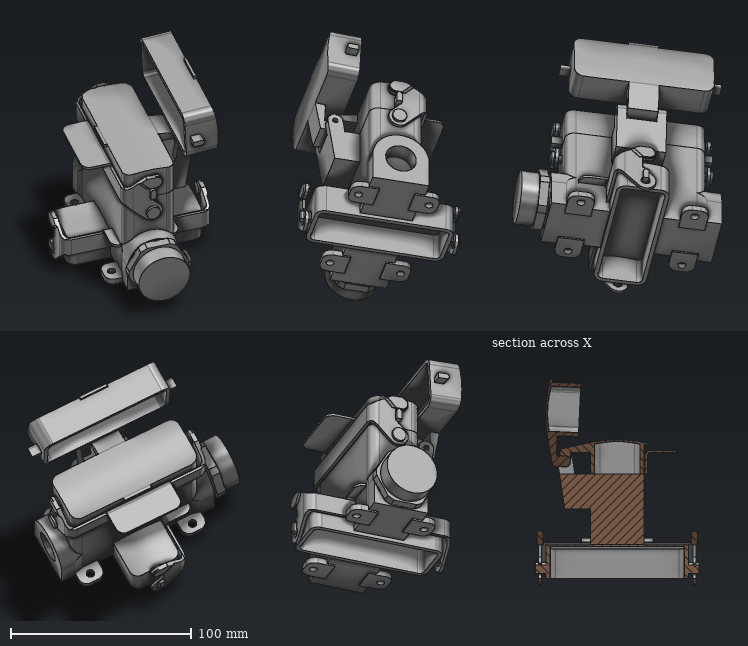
import cadquery as cq
import math

HOOD_LENGTH = 79.0
HOOD_WIDTH = 29.8
HOOD_CORNER_RADIUS = 5.4
HALF_LENGTH = HOOD_LENGTH / 2
HALF_WIDTH = HOOD_WIDTH / 2

HOUSING_HEIGHT = 56.0
HUB_RADIUS = 16.2
HUB_END_X = 48.1
HUB_BORE_DIAMETER = 17.4
HUB_BORE_DEPTH = 10.3
FOOT_WIDTH = 14.8
FOOT_INNER_Y = 10.1
FOOT_OUTER_Y = 25.3
FOOT_TOP_Z = 2.6
FOOT_BOTTOM_Z = -0.9
FOOT_RADIUS = 5.0
FOOT_HOLE_DIAMETER = 4.5
FOOT_HOLE_X = 32.1
FOOT_HOLE_Y = 20.2

HINGE_Y = 28.9
HINGE_Z = 62.8
HINGE_WIDTH = 28.0
HINGE_EAR_RADIUS = 4.4
HINGE_HOLE_DIAMETER = 3.0
HINGE_BOTTOM_Z = 36.3
HINGE_LEAN = 8.7

COVER_SHOULDER = 17.5
COVER_CROWN = 19.0
COVER_WALL = 2.4
COVER_ROOF = 1.1
CAVITY_CORNER_RADIUS = 3.0
ARM_WIDTH = 17.1
ARM_EYE_RADIUS = 3.0
ARM_TIP_Z = 13.7
ARM_UNDERSIDE_Z = 11.7
TOE_SIZE = 1.7
LUG_WIDTH = 3.2
LUG_BASE_Z = 2.6
LUG_TOP_Z = 9.0
LUG_REACH = 45.5
OPEN_ANGLE = 87.3
CROSS_COVER_RIM_Z = -2.2

LEVER_PIVOT_Z = 48.7
LEVER_OUTER_X = 43.8
LEVER_OUTER_Y = 17.0
LEVER_THICKNESS = 1.8
LEVER_CORNER_RADIUS = 5.3
LEVER_RING_RADIUS = 5.8
LEVER_HOLE_DIAMETER = 5.0
HOOK_DISC_RADIUS = 3.9
HOOK_DISC_Y = 2.0
HOOK_TOP = 24.3
HOOK_SLOPE_Y = -3.7
HOOK_PAD_HEIGHT = 0.9
HOOK_PAD_RADIUS = 3.7
HOOK_PAD_Y = 1.7
HOOK_PAD_LOW_Y = -3.5
HOOK_PAD_HIGH_Y = -8.2
HOOK_BEVEL_HEIGHT = 0.8
HOOK_BEVEL_WIDTH = 1.4
HOOK_NUB_HEIGHT = 0.9
HOOK_NUB_RADIUS = 3.8
STRIP_TOP = 17.9
STRIP_BOTTOM = 7.1
STRIP_KNEE_Y = -15.5
GRIP_WIDTH = 40.1
GRIP_RADIUS = 5.0
GRIP_END_Y = -32.6
GRIP_TOP = 20.5
GRIP_THICKNESS = 1.5
GRIP_BEND_Y = -17.9
GRIP_BEND_RADIUS = 1.5

PIN_DIAMETER = 4.7
PIN_HEAD_DIAMETER = 8.0
PIN_HEAD_THICKNESS = 1.5

GLAND_NECK_DIAMETER = 31.0
GLAND_NECK_LENGTH = 1.1
GLAND_NUT_FLATS = 32.1
GLAND_NUT_CORNERS = 34.8
GLAND_NUT_LENGTH = 5.3
GLAND_BODY_DIAMETER = 30.0
GLAND_BODY_LENGTH = 9.9


def extrude_x(outline, width):
    """Prism of a closed (y, z) outline, centred on x = 0."""
    return cq.Workplane("YZ").polyline(outline).close().extrude(width / 2, both=True)


def cylinder_x(diameter, start_x, end_x, y=0.0, z=0.0):
    """Cylinder along X between two x positions."""
    return (
        cq.Workplane("YZ", origin=(start_x, 0, 0))
        .center(y, z)
        .circle(diameter / 2)
        .extrude(end_x - start_x)
    )


def crowned_block(length, width, shoulder, crown, corner_radius):
    """Block on z = 0 with rounded corners and a top arched across its width."""
    return (
        cq.Workplane("YZ")
        .moveTo(-width / 2, 0)
        .lineTo(width / 2, 0)
        .lineTo(width / 2, shoulder)
        .threePointArc((0, crown), (-width / 2, shoulder))
        .close()
        .extrude(length / 2, both=True)
        .edges("|Z")
        .fillet(corner_radius)
    )


def cover_block():
    """Outside of the cover without its arm, toe and lugs."""
    return crowned_block(HOOD_LENGTH, HOOD_WIDTH, COVER_SHOULDER, COVER_CROWN, HOOD_CORNER_RADIUS)


def cover_arm():
    """Hinge arm behind the cover, with a leg that ends in an eye round the hinge axis."""
    hinge_z = HINGE_Z - HOUSING_HEIGHT
    root_y = HALF_WIDTH - COVER_WALL
    return (
        cq.Workplane("YZ")
        .moveTo(root_y, COVER_SHOULDER)
        .lineTo(HALF_WIDTH, COVER_SHOULDER)
        .lineTo(HINGE_Y + ARM_EYE_RADIUS, ARM_TIP_Z)
        .lineTo(HINGE_Y + ARM_EYE_RADIUS, hinge_z)
        .threePointArc((HINGE_Y, hinge_z - ARM_EYE_RADIUS), (HINGE_Y - ARM_EYE_RADIUS, hinge_z))
        .lineTo(HINGE_Y - ARM_EYE_RADIUS, ARM_UNDERSIDE_Z)
        .lineTo(root_y, ARM_UNDERSIDE_Z)
        .close()
        .extrude(ARM_WIDTH / 2, both=True)
    )


def cover_lugs():
    """Bar that forms the locking lugs at both ends, flat below and round on top."""
    half = LUG_WIDTH / 2
    return (
        cq.Workplane("YZ")
        .moveTo(-half, LUG_BASE_Z)
        .lineTo(half, LUG_BASE_Z)
        .lineTo(half, LUG_TOP_Z - half)
        .threePointArc((0, LUG_TOP_Z), (-half, LUG_TOP_Z - half))
        .close()
        .extrude(LUG_REACH, both=True)
    )


def make_cover():
    """Cover with its rim on z = 0, its toe toward -Y and its hinge arm toward +Y."""
    cavity = crowned_block(
        HOOD_LENGTH - 2 * COVER_WALL,
        HOOD_WIDTH - 2 * COVER_WALL,
        COVER_SHOULDER - COVER_ROOF,
        COVER_CROWN - COVER_ROOF,
        CAVITY_CORNER_RADIUS,
    )
    toe_y = -HALF_WIDTH + (COVER_WALL - TOE_SIZE) / 2
    toe_z = COVER_SHOULDER - TOE_SIZE / 2
    toe = cq.Workplane("XY", origin=(0, toe_y, toe_z)).box(ARM_WIDTH, COVER_WALL + TOE_SIZE, TOE_SIZE)
    return cover_block().union(cover_arm()).union(toe).union(cover_lugs()).cut(cavity)


def lever_side_outline():
    """Side shape of a lever arm in (y, z), with the pivot at the origin."""
    diagonal = LEVER_RING_RADIUS * math.sqrt(0.5)
    notch_y = -LUG_WIDTH / 2
    notch_z = 2 * diagonal - notch_y
    hook_bottom = HOOK_TOP - 2 * HOOK_DISC_RADIUS
    disc_z = HOOK_TOP - HOOK_DISC_RADIUS
    heel_y = -2 * diagonal - STRIP_BOTTOM
    return (
        cq.Workplane("YZ")
        .moveTo(diagonal, diagonal)
        .lineTo(notch_y, notch_z)
        .lineTo(notch_y, hook_bottom)
        .lineTo(HOOK_DISC_Y, hook_bottom)
        .threePointArc((HOOK_DISC_Y + HOOK_DISC_RADIUS, disc_z), (HOOK_DISC_Y, HOOK_TOP))
        .lineTo(HOOK_SLOPE_Y, HOOK_TOP)
        .lineTo(STRIP_KNEE_Y, STRIP_TOP)
        .lineTo(-LEVER_OUTER_Y, STRIP_TOP)
        .lineTo(-LEVER_OUTER_Y, STRIP_BOTTOM)
        .lineTo(heel_y, STRIP_BOTTOM)
        .lineTo(-diagonal, -diagonal)
        .threePointArc((diagonal, -diagonal), (diagonal, diagonal))
        .close()
    )


def lever_bail():
    """U-shaped strip, seen from above, that runs round both ends and the front."""
    height = HOOK_TOP + LEVER_RING_RADIUS
    back_y = HOOK_DISC_Y + HOOK_DISC_RADIUS + LEVER_THICKNESS
    depth = back_y + LEVER_OUTER_Y

    def loop(half_length, front_y, radius):
        """Block whose two front corners are rounded."""
        return (
            cq.Workplane("XY", origin=(0, 0, -LEVER_RING_RADIUS))
            .center(0, front_y + depth / 2)
            .rect(2 * half_length, depth)
            .extrude(height)
            .edges("|Z and <Y")
            .fillet(radius)
        )

    outer = loop(LEVER_OUTER_X, -LEVER_OUTER_Y, LEVER_CORNER_RADIUS)
    inner = loop(
        LEVER_OUTER_X - LEVER_THICKNESS,
        -LEVER_OUTER_Y + LEVER_THICKNESS,
        LEVER_CORNER_RADIUS - LEVER_THICKNESS,
    )
    return outer.cut(inner)


def hook_pad():
    """Raised face on the outside of the hook at +X, bevelled where it joins the arm."""
    pad_bottom = HOOK_TOP - 2 * HOOK_PAD_RADIUS
    disc_z = HOOK_TOP - HOOK_PAD_RADIUS
    slope = (HOOK_TOP - STRIP_TOP) / (HOOK_SLOPE_Y - STRIP_KNEE_Y)
    high_z = HOOK_TOP - slope * (HOOK_SLOPE_Y - HOOK_PAD_HIGH_Y)
    bevel_side_middle = (
        LEVER_OUTER_X + HOOK_PAD_HEIGHT / 2,
        (HOOK_PAD_LOW_Y + HOOK_PAD_HIGH_Y) / 2,
        (pad_bottom + high_z) / 2,
    )
    pad = (
        cq.Workplane("YZ", origin=(LEVER_OUTER_X, 0, 0))
        .moveTo(HOOK_PAD_Y, HOOK_TOP)
        .lineTo(HOOK_SLOPE_Y, HOOK_TOP)
        .lineTo(HOOK_PAD_HIGH_Y, high_z)
        .lineTo(HOOK_PAD_LOW_Y, pad_bottom)
        .lineTo(HOOK_PAD_Y, pad_bottom)
        .threePointArc((HOOK_PAD_Y + HOOK_PAD_RADIUS, disc_z), (HOOK_PAD_Y, HOOK_TOP))
        .close()
        .extrude(HOOK_PAD_HEIGHT)
    )
    bevel_side = pad.faces(cq.selectors.NearestToPointSelector(bevel_side_middle))
    bevel_edge = bevel_side.edges(">X").val()
    return pad.newObject([bevel_edge]).chamfer(HOOK_BEVEL_HEIGHT, HOOK_BEVEL_WIDTH)


def hook_nub():
    """Round nub on the inside of the hook at +X."""
    inner_x = LEVER_OUTER_X - LEVER_THICKNESS
    return cylinder_x(
        2 * HOOK_NUB_RADIUS,
        inner_x - HOOK_NUB_HEIGHT,
        inner_x,
        HOOK_DISC_Y,
        HOOK_TOP - HOOK_DISC_RADIUS,
    )


def lever_grip():
    """Finger plate bent outward from the top edge of the front strip."""
    strip_inner_y = -LEVER_OUTER_Y + LEVER_THICKNESS
    grip_bottom = GRIP_TOP - GRIP_THICKNESS
    outline = [
        (strip_inner_y, STRIP_TOP),
        (-LEVER_OUTER_Y, STRIP_TOP),
        (GRIP_BEND_Y, grip_bottom),
        (GRIP_END_Y, grip_bottom),
        (GRIP_END_Y, GRIP_TOP),
        (-LEVER_OUTER_Y, GRIP_TOP),
    ]
    bend_edge = cq.selectors.NearestToPointSelector((0, -LEVER_OUTER_Y, GRIP_TOP))
    return (
        extrude_x(outline, GRIP_WIDTH)
        .edges("|Z and <Y")
        .fillet(GRIP_RADIUS)
        .edges(bend_edge)
        .fillet(GRIP_BEND_RADIUS)
    )


def make_lever():
    """Lever with its pivot axis along X through the origin and its grip toward -Y."""
    lever = lever_bail().intersect(lever_side_outline().extrude(LEVER_OUTER_X, both=True))
    for detail in (hook_pad(), hook_nub()):
        lever = lever.union(detail).union(detail.mirror("YZ"))
    pivot_holes = cylinder_x(LEVER_HOLE_DIAMETER, -LEVER_OUTER_X, LEVER_OUTER_X)
    return lever.union(lever_grip()).cut(pivot_holes)


def housing_block():
    """Main block, flush with the closed cover."""
    return (
        cq.Workplane("XY")
        .rect(HOOD_LENGTH, HOOD_WIDTH)
        .extrude(HOUSING_HEIGHT)
        .edges("|Z")
        .fillet(HOOD_CORNER_RADIUS)
    )


def hub_bore():
    """Blind cable entry in the -X hub."""
    return cylinder_x(HUB_BORE_DIAMETER, -HUB_END_X, -HUB_END_X + HUB_BORE_DEPTH, 0, HUB_RADIUS)


def cable_hubs():
    """Round-topped cable hubs at both ends, tapering into the long sides."""
    round_top = cylinder_x(2 * HUB_RADIUS, -HUB_END_X, HUB_END_X, 0, HUB_RADIUS)
    square_foot = cq.Workplane("XY").box(
        2 * HUB_END_X, 2 * HUB_RADIUS, HUB_RADIUS, centered=(True, True, False)
    )
    taper_end_x = HALF_LENGTH - HOOD_CORNER_RADIUS
    plan = (
        cq.Workplane("XY")
        .polyline(
            [
                (HUB_END_X, -HUB_RADIUS),
                (HUB_END_X, HUB_RADIUS),
                (HALF_LENGTH, HUB_RADIUS),
                (taper_end_x, HALF_WIDTH),
                (taper_end_x, -HALF_WIDTH),
                (HALF_LENGTH, -HUB_RADIUS),
            ]
        )
        .close()
        .extrude(2 * HUB_RADIUS)
    )
    return round_top.union(square_foot).intersect(plan.union(plan.mirror("YZ")))


def mounting_feet():
    """Screw feet at the four corners, with rounded outer corners."""
    foot_length = FOOT_OUTER_Y - FOOT_INNER_Y
    foot_x = HALF_LENGTH - FOOT_WIDTH / 2
    foot = (
        cq.Workplane("XY", origin=(0, 0, FOOT_BOTTOM_Z))
        .center(foot_x, FOOT_INNER_Y + foot_length / 2)
        .rect(FOOT_WIDTH, foot_length)
        .extrude(FOOT_TOP_Z - FOOT_BOTTOM_Z)
        .edges("|Z and >Y")
        .fillet(FOOT_RADIUS)
    )
    hole = (
        cq.Workplane("XY", origin=(FOOT_HOLE_X, FOOT_HOLE_Y, FOOT_BOTTOM_Z))
        .circle(FOOT_HOLE_DIAMETER / 2)
        .extrude(FOOT_TOP_Z - FOOT_BOTTOM_Z)
    )
    foot = foot.cut(hole)
    back_feet = foot.union(foot.mirror("YZ"))
    return back_feet.union(back_feet.mirror("XZ"))


def hinge_bracket():
    """Two leaning hinge ears on a common web, with a gap for the cover arms."""
    lean = math.radians(HINGE_LEAN)
    ear_y = HINGE_EAR_RADIUS * math.cos(lean)
    ear_z = HINGE_EAR_RADIUS * math.sin(lean)
    back_y, back_z = HINGE_Y + ear_y, HINGE_Z - ear_z
    front_y, front_z = HINGE_Y - ear_y, HINGE_Z + ear_z
    outline = [
        (HALF_WIDTH, HINGE_BOTTOM_Z),
        (back_y - (back_z - HINGE_BOTTOM_Z) * math.tan(lean), HINGE_BOTTOM_Z),
        (back_y, back_z),
        (front_y, front_z),
        (front_y - (front_z - HOUSING_HEIGHT) * math.tan(lean), HOUSING_HEIGHT),
        (HALF_WIDTH, HOUSING_HEIGHT),
    ]
    half = HINGE_WIDTH / 2
    ears = cylinder_x(2 * HINGE_EAR_RADIUS, -half, half, HINGE_Y, HINGE_Z)
    bore = cylinder_x(HINGE_HOLE_DIAMETER, -half, half, HINGE_Y, HINGE_Z)
    gap = cq.Workplane("XY", origin=(0, HINGE_Y, HOUSING_HEIGHT)).box(
        ARM_WIDTH, HOOD_WIDTH, HOUSING_HEIGHT, centered=(True, True, False)
    )
    return extrude_x(outline, HINGE_WIDTH).union(ears).cut(bore).cut(gap)


def lever_pins():
    """Headed pins that carry the upper lever."""
    head_x = LUG_REACH - PIN_HEAD_THICKNESS
    shaft = cylinder_x(PIN_DIAMETER, -LUG_REACH, LUG_REACH, 0, LEVER_PIVOT_Z)
    head = cylinder_x(PIN_HEAD_DIAMETER, head_x, LUG_REACH, 0, LEVER_PIVOT_Z)
    return shaft.union(head).union(head.mirror("YZ"))


def make_housing():
    """Housing standing on z = 0, before the tunnel for the cross cover is cut."""
    return (
        housing_block()
        .union(cable_hubs())
        .union(mounting_feet())
        .union(hinge_bracket())
        .union(lever_pins())
        .cut(hub_bore())
    )


def make_gland():
    """Neck, hexagonal nut with turned corners, and round body on the +X hub."""
    nut_x = HUB_END_X + GLAND_NECK_LENGTH
    body_x = nut_x + GLAND_NUT_LENGTH
    neck = cylinder_x(GLAND_NECK_DIAMETER, HUB_END_X, nut_x, 0, HUB_RADIUS)
    hexagon = (
        cq.Workplane("YZ", origin=(nut_x, 0, HUB_RADIUS))
        .polygon(6, GLAND_NUT_FLATS / math.cos(math.pi / 6))
        .extrude(GLAND_NUT_LENGTH)
    )
    nut = hexagon.intersect(cylinder_x(GLAND_NUT_CORNERS, nut_x, body_x, 0, HUB_RADIUS))
    body = cylinder_x(GLAND_BODY_DIAMETER, body_x, body_x + GLAND_BODY_LENGTH, 0, HUB_RADIUS)
    return neck.union(nut).union(body)


def turned_across(body):
    """Quarter turn about Z, so that the -Y side faces +X."""
    return body.rotate((0, 0, 0), (0, 0, 1), 90)


closed_position = make_cover().translate((0, 0, HOUSING_HEIGHT))
open_cover = closed_position.rotate((0, HINGE_Y, HINGE_Z), (1, HINGE_Y, HINGE_Z), -OPEN_ANGLE)
closed_cover = closed_position.cut(open_cover)
cross_cover = turned_across(make_cover()).translate((0, 0, CROSS_COVER_RIM_Z))

upper_lever = make_lever().translate((0, 0, LEVER_PIVOT_Z))
cross_lever = turned_across(make_lever()).cut(cross_cover)

tunnel = turned_across(cover_block()).translate((0, 0, CROSS_COVER_RIM_Z))
housing = make_housing().cut(tunnel).cut(cross_cover).cut(cross_lever)

gland = make_gland()

result = cq.Compound.makeCompound(
    [
        housing.val(),
        closed_cover.val(),
        open_cover.val(),
        cross_cover.val(),
        upper_lever.val(),
        cross_lever.val(),
        gland.val(),
    ]
)